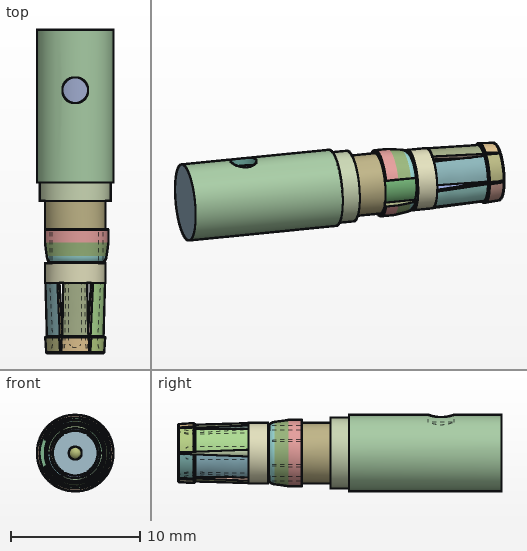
import cadquery as cq
import math


total_length = 25.1
barrel_diameter = 5.95
barrel_radius = barrel_diameter / 2
barrel_front = 13.25
collar_radius = 2.75
collar_front = 11.83
neck_radius = 2.35

groove_radius = 1.8
groove_back = 9.65
groove_front = 7.0
ring_radius = 2.59
ring_inner_radius = 2.15
ring_bevel = 0.05
ring_taper_start = 8.6
ring_shoulder_radius = 2.44
ring_shoulder = 7.53
ring_nose_radius = 2.2
ring_front = 7.08
ring_gap_half_angle = 24.5

finger_count = 6
sleeve_radius = 2.35
finger_root = 5.47
finger_root_radius = 2.34
finger_neck_radius = 2.2
lip_radius = 2.34
lip_back = 1.35
lip_bevel = 0.13
lip_front_radius = 2.25
edge_bevel = 0.1
slot_root_width = 0.53
slot_tip_width = 0.1

socket_root_radius = 1.98
throat_radius = 1.73
throat_depth = 0.8
mouth_radius = 1.93
pin_radius = 0.5
pin_recess = 0.45

hole_radius = 1.0
hole_from_back = 4.7
hole_floor_radius = 2.4


def revolve_about_y(profile):
    return profile.close().revolve(360, (0, 0, 0), (0, 1, 0))


def make_body():
    outline = (
        cq.Workplane("XY")
        .moveTo(0, total_length)
        .lineTo(barrel_radius, total_length)
        .lineTo(barrel_radius, barrel_front)
        .lineTo(collar_radius, barrel_front)
        .lineTo(collar_radius, collar_front)
        .lineTo(neck_radius, collar_front)
        .lineTo(neck_radius, groove_back)
        .lineTo(groove_radius, groove_back)
        .lineTo(groove_radius, groove_front)
        .lineTo(sleeve_radius, groove_front)
        .lineTo(sleeve_radius, finger_root)
        .lineTo(finger_root_radius, finger_root)
        .lineTo(finger_neck_radius, lip_back)
        .lineTo(lip_radius, lip_back - lip_bevel)
        .lineTo(lip_front_radius, edge_bevel)
        .lineTo(lip_front_radius - edge_bevel, 0)
        .lineTo(mouth_radius, 0)
        .lineTo(throat_radius, throat_depth)
        .lineTo(socket_root_radius, finger_root)
        .lineTo(0, finger_root)
    )
    return revolve_about_y(outline)


def make_slot(angle):
    root_half = slot_root_width / 2
    tip_half = slot_tip_width / 2
    wedge = (
        cq.Workplane("YZ")
        .polyline([
            (finger_root, -root_half),
            (finger_root, root_half),
            (0, tip_half),
            (0, -tip_half),
        ])
        .close()
        .extrude(barrel_radius)
    )
    return wedge.rotate((0, 0, 0), (0, 1, 0), angle)


def make_pin():
    outline = (
        cq.Workplane("XY")
        .moveTo(0, finger_root)
        .lineTo(pin_radius, finger_root)
        .lineTo(pin_radius, pin_recess + pin_radius)
        .radiusArc((0, pin_recess), pin_radius)
    )
    return revolve_about_y(outline)


def make_ring():
    outline = (
        cq.Workplane("XY")
        .moveTo(ring_inner_radius, groove_back)
        .lineTo(ring_radius - ring_bevel, groove_back)
        .lineTo(ring_radius, groove_back - ring_bevel)
        .lineTo(ring_radius, ring_taper_start)
        .lineTo(ring_shoulder_radius, ring_shoulder)
        .tangentArcPoint((ring_nose_radius, ring_front), relative=False)
        .lineTo(ring_inner_radius, ring_front)
    )
    gap_half_width = 2 * ring_radius * math.tan(math.radians(ring_gap_half_angle))
    gap = (
        cq.Workplane("XZ")
        .polyline([
            (0, 0),
            (-2 * ring_radius, gap_half_width),
            (-2 * ring_radius, -gap_half_width),
        ])
        .close()
        .extrude(-total_length)
    )
    return revolve_about_y(outline).cut(gap)


def make_hole():
    drill = (
        cq.Workplane("XY")
        .center(0, total_length - hole_from_back)
        .circle(hole_radius)
        .extrude(barrel_radius)
    )
    floor = cq.Workplane("XZ").circle(hole_floor_radius).extrude(-total_length)
    return drill.cut(floor)


result = make_body().cut(make_hole())
for index in range(finger_count):
    result = result.cut(make_slot(index * 360 / finger_count))
result = result.union(make_pin()).union(make_ring())